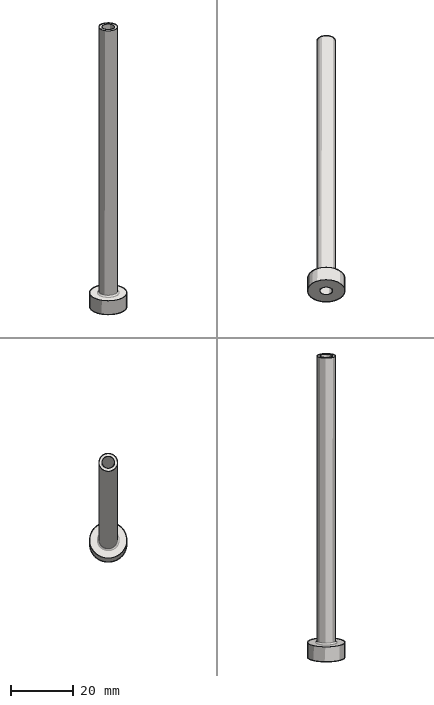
import cadquery as cq

total_length = 100.0
head_diameter = 12.0
head_height = 5.0
tube_diameter = 6.0
bore_diameter = 4.0
neck_fillet_radius = 0.5

head = cq.Workplane("XY").circle(head_diameter / 2).extrude(head_height)
tube = cq.Workplane("XY").circle(tube_diameter / 2).extrude(total_length)
body = head.union(tube)

neck_corner = cq.selectors.RadiusNthSelector(0)
body = body.faces("<Z[1]").edges(neck_corner).fillet(neck_fillet_radius)

bore = cq.Workplane("XY").circle(bore_diameter / 2).extrude(total_length)
result = body.cut(bore)